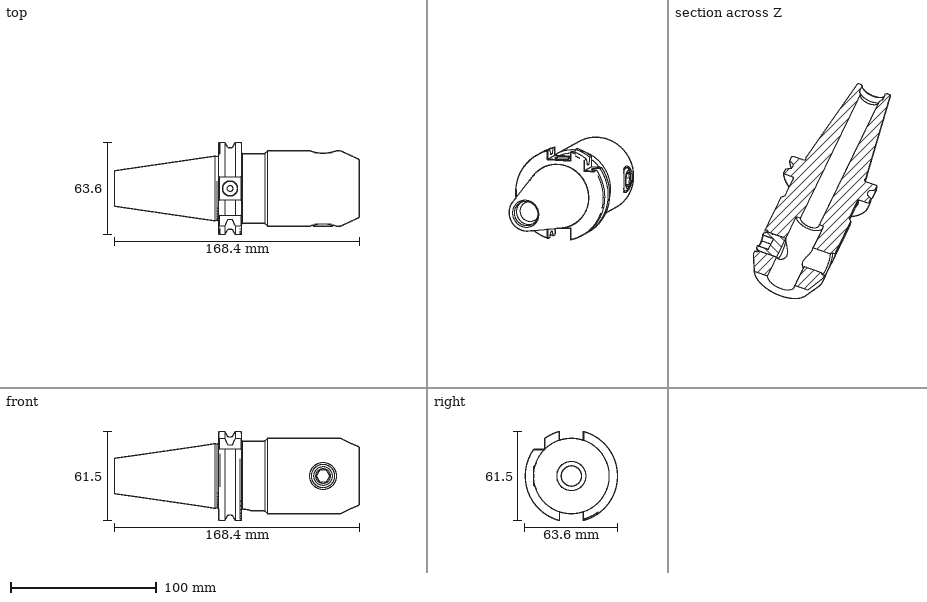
import cadquery as cq
import math


GAUGE_RADIUS = 44.45 / 2
TAPER_LENGTH = 68.4
TAPER_SLOPE = 7 / 48
TAPER_START = 0.65
TAPER_START_RADIUS = GAUGE_RADIUS + TAPER_START * TAPER_SLOPE
TAPER_END_RADIUS = GAUGE_RADIUS - TAPER_LENGTH * TAPER_SLOPE
TAPER_END_FILLET = 1.0
RELIEF_DEPTH = 0.3
RELIEF_RAMP_LENGTH = 1.0
RELIEF_RADIUS = TAPER_START_RADIUS - RELIEF_DEPTH

FLANGE_START = 3.2
FLANGE_END = 19.1
FLANGE_RADIUS = 63.55 / 2
FLANGE_FILLET = 1.0
FLANGE_FRONT_ROOT_FILLET = 1.0
FLANGE_BACK_ROOT_FILLET = 0.5
GROOVE_X = 11.1
GROOVE_FLOOR_RADIUS = 56.25 / 2
GROOVE_FLOOR_WIDTH = 3.0
GROOVE_FLOOR_FILLET = 1.0
GROOVE_SIDE_ANGLE = 30

NECK_RADIUS = 24.0
BODY_RADIUS = 26.0
STEP_END = 37.0
STEP_LENGTH = BODY_RADIUS - NECK_RADIUS
NOSE_START = 87.0
NOSE_END = 100.0
NOSE_ANGLE = 25
NOSE_END_RADIUS = BODY_RADIUS - (NOSE_END - NOSE_START) * math.tan(math.radians(NOSE_ANGLE))
NOSE_START_FILLET = 2.3
NOSE_END_FILLET = 1.0

DRAWBAR_BORE_RADIUS = 6.9
PILOT_RADIUS = 8.5
PILOT_DEPTH = 5.5
PILOT_CHAMFER = 1.0
PILOT_CONE_LENGTH = 3.0
TOOL_BORE_RADIUS = 10.0
TOOL_BORE_DEPTH = 52.0

SLOT_WIDTH = 16.1
UPPER_SLOT_FLOOR = 25.0
LOWER_SLOT_FLOOR = 22.8
SLOT_RUNOUT_RADIUS = 20.0
NOTCH_OFFSET = 18.5
CUT_EDGE_CHAMFER = 0.5

CHIP_HOLE_RADIUS = 5.0
CHIP_HOLE_DEPTH = 4.6
CHIP_HOLE_CHAMFER = 0.3
DRILL_POINT_RADIUS = 2.0
DRILL_POINT_DEPTH = 1.2

SCREW_X = NOSE_END - 25.0
SCREW_RADIUS = 8.0
SCREW_CHAMFER = 1.6
SCREW_SEAT_RADIUS = 9.25
HEX_SIDES = 6
HEX_FLATS = 8.0
HEX_DEPTH = 8.0
HEX_LEAD_RADIUS = 5.05
HEX_LEAD_DEPTH = 0.6


def x_cylinder(start, end, radius):
    """Cylinder along the tool axis."""
    return cq.Workplane("YZ", origin=(start, 0, 0)).circle(radius).extrude(end - start)


def block(x_range, y_range, z_range):
    """Box given by its limits along each axis."""
    spans = [high - low for low, high in (x_range, y_range, z_range)]
    return cq.Workplane("XY", origin=(x_range[0], y_range[0], z_range[0])).box(*spans, centered=False)


def cone(base, direction, base_radius, end_radius, height):
    """Cone or cone frustum running from a base point."""
    solid = cq.Solid.makeCone(base_radius, end_radius, height, cq.Vector(*base), cq.Vector(*direction))
    return cq.Workplane(obj=solid)


def ring_edges(solid, x, radius):
    """Circular edges of a turned solid that run around the axis at the given place."""
    margin = 0.01
    span = radius + margin
    low_corner = (x - margin, -span, -span)
    high_corner = (x + margin, span, span)
    selector = cq.selectors.BoxSelector(low_corner, high_corner, boundingbox=True)
    rings = solid.edges(selector).edges("%CIRCLE")
    return rings.filter(lambda edge: abs(edge.radius() - radius) < margin)


def turned_blank():
    """Revolved holder profile, rounded at its corners."""
    groove_depth = FLANGE_RADIUS - GROOVE_FLOOR_RADIUS
    floor_half = GROOVE_FLOOR_WIDTH / 2
    mouth_half = floor_half + groove_depth * math.tan(math.radians(GROOVE_SIDE_ANGLE))
    outline = [
        (-TAPER_LENGTH, 0),
        (-TAPER_LENGTH, TAPER_END_RADIUS),
        (TAPER_START, TAPER_START_RADIUS),
        (TAPER_START + RELIEF_RAMP_LENGTH, RELIEF_RADIUS),
        (FLANGE_START, RELIEF_RADIUS),
        (FLANGE_START, FLANGE_RADIUS),
        (GROOVE_X - mouth_half, FLANGE_RADIUS),
        (GROOVE_X - floor_half, GROOVE_FLOOR_RADIUS),
        (GROOVE_X + floor_half, GROOVE_FLOOR_RADIUS),
        (GROOVE_X + mouth_half, FLANGE_RADIUS),
        (FLANGE_END, FLANGE_RADIUS),
        (FLANGE_END, NECK_RADIUS),
        (STEP_END - STEP_LENGTH, NECK_RADIUS),
        (STEP_END, BODY_RADIUS),
        (NOSE_START, BODY_RADIUS),
        (NOSE_END, NOSE_END_RADIUS),
        (NOSE_END, 0),
    ]
    blank = cq.Workplane("XY").polyline(outline).close().revolve(360, (0, 0, 0), (1, 0, 0))
    fillets = [
        (-TAPER_LENGTH, TAPER_END_RADIUS, TAPER_END_FILLET),
        (FLANGE_START, RELIEF_RADIUS, FLANGE_FRONT_ROOT_FILLET),
        (FLANGE_START, FLANGE_RADIUS, FLANGE_FILLET),
        (FLANGE_END, FLANGE_RADIUS, FLANGE_FILLET),
        (FLANGE_END, NECK_RADIUS, FLANGE_BACK_ROOT_FILLET),
        (GROOVE_X - floor_half, GROOVE_FLOOR_RADIUS, GROOVE_FLOOR_FILLET),
        (GROOVE_X + floor_half, GROOVE_FLOOR_RADIUS, GROOVE_FLOOR_FILLET),
        (NOSE_START, BODY_RADIUS, NOSE_START_FILLET),
        (NOSE_END, NOSE_END_RADIUS, NOSE_END_FILLET),
    ]
    for x, edge_radius, fillet_radius in fillets:
        blank = ring_edges(blank, x, edge_radius).fillet(fillet_radius)
    return blank


def axial_bores():
    """Drawbar bore with its pilot at the taper end, and the tool bore at the nose."""
    start = -TAPER_LENGTH
    pilot_end = start + PILOT_DEPTH
    forward = (1, 0, 0)
    mouth_radius = PILOT_RADIUS + PILOT_CHAMFER
    bores = x_cylinder(start, NOSE_END, DRAWBAR_BORE_RADIUS)
    bores = bores.union(x_cylinder(start, pilot_end, PILOT_RADIUS))
    bores = bores.union(cone((start, 0, 0), forward, mouth_radius, PILOT_RADIUS, PILOT_CHAMFER))
    pilot_cone = cone((pilot_end, 0, 0), forward, PILOT_RADIUS, DRAWBAR_BORE_RADIUS, PILOT_CONE_LENGTH)
    bores = bores.union(pilot_cone)
    return bores.union(x_cylinder(NOSE_END - TOOL_BORE_DEPTH, NOSE_END, TOOL_BORE_RADIUS))


def edge_chamfer(face_x, inward, y_range, z_range):
    """Flare that breaks the edges of a rectangular cut where it meets a flange face."""
    (y_low, y_high), (z_low, z_high) = y_range, z_range
    mouth_y = y_high - y_low + 2 * CUT_EDGE_CHAMFER
    mouth_z = z_high - z_low + 2 * CUT_EDGE_CHAMFER
    centre = (face_x, (y_low + y_high) / 2, (z_low + z_high) / 2)
    mouth = cq.Workplane(cq.Plane(centre, (0, 1, 0), (inward, 0, 0))).rect(mouth_y, mouth_z)
    return mouth.extrude(CUT_EDGE_CHAMFER, taper=45)


def flange_cut(y_range, z_range):
    """Rectangular cut through the flange, with its edges broken at both faces."""
    cut = block((FLANGE_START, FLANGE_END), y_range, z_range)
    cut = cut.union(edge_chamfer(FLANGE_START, 1, y_range, z_range))
    return cut.union(edge_chamfer(FLANGE_END, -1, y_range, z_range))


def upper_slot():
    return flange_cut((-SLOT_WIDTH / 2, SLOT_WIDTH / 2), (UPPER_SLOT_FLOOR, FLANGE_RADIUS))


def lower_slot():
    """Drive slot whose floor curves outward through the neck behind the flange."""
    half = SLOT_WIDTH / 2
    runout_depth = FLANGE_RADIUS - LOWER_SLOT_FLOOR
    runout_angle = math.acos(1 - runout_depth / SLOT_RUNOUT_RADIUS)
    runout_length = SLOT_RUNOUT_RADIUS * math.sin(runout_angle)
    arc_middle = (
        FLANGE_END + SLOT_RUNOUT_RADIUS * math.sin(runout_angle / 2),
        -LOWER_SLOT_FLOOR - SLOT_RUNOUT_RADIUS * (1 - math.cos(runout_angle / 2)),
    )
    slot = (
        cq.Workplane("XZ", origin=(0, half, 0))
        .moveTo(FLANGE_START, -LOWER_SLOT_FLOOR)
        .lineTo(FLANGE_END, -LOWER_SLOT_FLOOR)
        .threePointArc(arc_middle, (FLANGE_END + runout_length, -FLANGE_RADIUS))
        .lineTo(FLANGE_START, -FLANGE_RADIUS)
        .close()
        .extrude(SLOT_WIDTH)
    )
    return slot.union(edge_chamfer(FLANGE_START, 1, (-half, half), (-FLANGE_RADIUS, -LOWER_SLOT_FLOOR)))


def orientation_notch():
    return flange_cut((-FLANGE_RADIUS, -NOTCH_OFFSET), (NOTCH_OFFSET, FLANGE_RADIUS))


def chip_hole():
    down = (0, 0, -1)
    mouth = (GROOVE_X, 0, UPPER_SLOT_FLOOR)
    floor = (GROOVE_X, 0, UPPER_SLOT_FLOOR - CHIP_HOLE_DEPTH)
    hole = cq.Workplane("XY", origin=floor).circle(CHIP_HOLE_RADIUS).extrude(CHIP_HOLE_DEPTH)
    mouth_radius = CHIP_HOLE_RADIUS + CHIP_HOLE_CHAMFER
    hole = hole.union(cone(mouth, down, mouth_radius, CHIP_HOLE_RADIUS, CHIP_HOLE_CHAMFER))
    return hole.union(cone(floor, down, DRILL_POINT_RADIUS, 0, DRILL_POINT_DEPTH))


def screw_hole():
    """Hole across the whole body, countersunk on both sides."""
    hole = cq.Workplane("XZ", origin=(SCREW_X, 0, 0)).circle(SCREW_RADIUS).extrude(BODY_RADIUS, both=True)
    rim = math.sqrt(BODY_RADIUS**2 - SCREW_SEAT_RADIUS**2)
    seat_depth = SCREW_SEAT_RADIUS - SCREW_RADIUS
    for side in (-1, 1):
        mouth = cq.Workplane("XZ", origin=(SCREW_X, side * rim, 0)).circle(SCREW_SEAT_RADIUS)
        hole = hole.union(mouth.extrude(-side * (BODY_RADIUS - rim)))
        hole = hole.union(
            cone((SCREW_X, side * rim, 0), (0, -side, 0), SCREW_SEAT_RADIUS, SCREW_RADIUS, seat_depth)
        )
    return hole


def make_holder():
    holder = turned_blank()
    for cut in (axial_bores(), upper_slot(), lower_slot(), orientation_notch(), chip_hole(), screw_hole()):
        holder = holder.cut(cut)
    return holder


def make_clamp_screw():
    """Set screw from the tool bore out to the body surface, with a hexagon socket."""
    head_y = -BODY_RADIUS
    inward = (0, 1, 0)
    screw_length = BODY_RADIUS - TOOL_BORE_RADIUS
    face = cq.Workplane("XZ", origin=(SCREW_X, head_y, 0))
    screw = face.circle(SCREW_RADIUS).extrude(-screw_length).faces("<Y").chamfer(SCREW_CHAMFER)
    hex_corners = HEX_FLATS / math.cos(math.pi / HEX_SIDES)
    socket = face.polygon(HEX_SIDES, hex_corners).extrude(-HEX_DEPTH)
    lead = cone((SCREW_X, head_y, 0), inward, HEX_LEAD_RADIUS, HEX_FLATS / 2, HEX_LEAD_DEPTH)
    return screw.cut(socket).cut(lead)


holder = make_holder()
clamp_screw = make_clamp_screw()
result = cq.Compound.makeCompound([*holder.solids().vals(), *clamp_screw.solids().vals()])